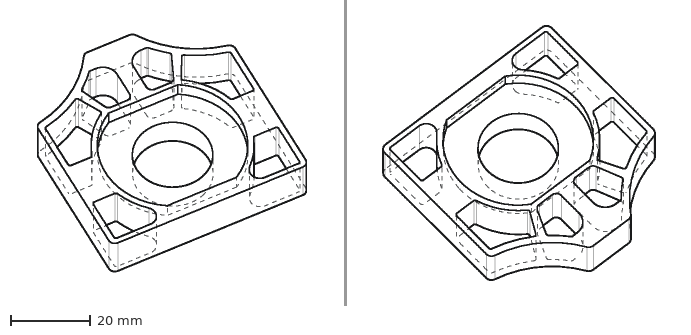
import cadquery as cq
import math

height = 12.0
length = 56.6
width = 55.65
right_x = 20.95
left_x = right_x - length
half_width = width / 2

flank_center = (-50.4, 32.4)
flank_radius = 29.45
flank_wall = 2.1
outer_corner_radius = 1.7

bore_diameter = 20.25
recess_radius = 18.95
recess_half_flat = 16.25
recess_depth = 4.0
recess_wall = 1.6
ring_radius = recess_radius + recess_wall

side_wall_y = 1.65
side_wall_x = 1.5
pocket_top_y = half_width - side_wall_y
web_left_x = -6.0
web_right_x = 6.85
corner_radius = 0.55
wedge_radius = 2.7

rib_point = (-17.55, 11.4)
rib_slope = -0.53

nose_left_x = -30.1
nose_right_x = -17.65
nose_bottom_y = 2.4
nose_top_point = (-18.95, 9.9)
nose_top_slope = -0.42
nose_inner_radius = 1.6
nose_large_radius = 4.0


def disc(center, radius):
    return cq.Workplane("XY").center(*center).circle(radius).extrude(height)


def prism(points):
    return cq.Workplane("XY").polyline(points).close().extrude(height)


def line_y(point, slope, x):
    return point[1] + slope * (x - point[0])


def round_corner(body, x, y, radius):
    """Round the upright edge nearest to (x, y)."""
    corner = cq.selectors.NearestToPointSelector((x, y, height / 2))
    return body.edges("|Z").edges(corner).fillet(radius)


def mirrored_pair(body):
    return body.union(body.mirror("XZ"))


def flank_x(y, radius):
    """X on the right-hand side of a circle about the flank centre."""
    return flank_center[0] + math.sqrt(radius**2 - (y - flank_center[1]) ** 2)


def flank_y(x, radius):
    """Y on the lower side of a circle about the flank centre."""
    return flank_center[1] - math.sqrt(radius**2 - (x - flank_center[0]) ** 2)


def plate():
    middle_x = (left_x + right_x) / 2
    body = cq.Workplane("XY").center(middle_x, 0).rect(length, width).extrude(height)
    flank = disc(flank_center, flank_radius)
    body = body.cut(flank).cut(flank.mirror("XZ"))
    corners = [
        (right_x, half_width),
        (flank_x(half_width, flank_radius), half_width),
        (left_x, flank_y(left_x, flank_radius)),
    ]
    for x, y in corners:
        for side in (1, -1):
            body = round_corner(body, x, side * y, outer_corner_radius)
    return body


def recess():
    flats = cq.Workplane("XY").rect(2 * recess_half_flat, width).extrude(height)
    return disc((0, 0), recess_radius).intersect(flats).translate((0, 0, height - recess_depth))


def square_corner_pocket():
    """Pocket in a square corner of the plate, narrowing to a wedge beside the ring."""
    edge_x = right_x - side_wall_x
    body = prism([(web_right_x, 0), (edge_x, 0), (edge_x, pocket_top_y), (web_right_x, pocket_top_y)])
    body = body.cut(disc((0, 0), ring_radius))
    wedge_y = math.sqrt(ring_radius**2 - edge_x**2)
    body = round_corner(body, edge_x, wedge_y, wedge_radius)
    ring_y = math.sqrt(ring_radius**2 - web_right_x**2)
    for x, y in [(edge_x, pocket_top_y), (web_right_x, pocket_top_y), (web_right_x, ring_y)]:
        body = round_corner(body, x, y, corner_radius)
    return body


def flank_pocket():
    """Pocket between the concave flank, the ring and the sloping rib."""
    body = prism([
        (left_x, line_y(rib_point, rib_slope, left_x)),
        (web_left_x, line_y(rib_point, rib_slope, web_left_x)),
        (web_left_x, pocket_top_y),
        (left_x, pocket_top_y),
    ])
    body = body.cut(disc((0, 0), ring_radius))
    body = body.cut(disc(flank_center, flank_radius + flank_wall))
    return body.edges("|Z").fillet(corner_radius)


def nose_pocket():
    """Five-sided pocket between the nose, the rib and the recess."""
    right_top_y = line_y(nose_top_point, nose_top_slope, nose_right_x)
    body = prism([
        (nose_left_x, nose_bottom_y),
        (nose_right_x, nose_bottom_y),
        (nose_right_x, right_top_y),
        (nose_left_x, line_y(nose_top_point, nose_top_slope, nose_left_x)),
    ])
    body = body.cut(disc(flank_center, flank_radius + flank_wall))
    body = body.edges("|Z and >Y").fillet(corner_radius)
    left_top_y = flank_y(nose_left_x, flank_radius + flank_wall)
    body = round_corner(body, nose_left_x, left_top_y, corner_radius)
    body = round_corner(body, nose_left_x, nose_bottom_y, nose_large_radius)
    for y in (nose_bottom_y, right_top_y):
        body = round_corner(body, nose_right_x, y, nose_inner_radius)
    return body


result = plate().cut(recess()).cut(disc((0, 0), bore_diameter / 2))
for pocket in (square_corner_pocket(), flank_pocket(), nose_pocket()):
    result = result.cut(mirrored_pair(pocket))